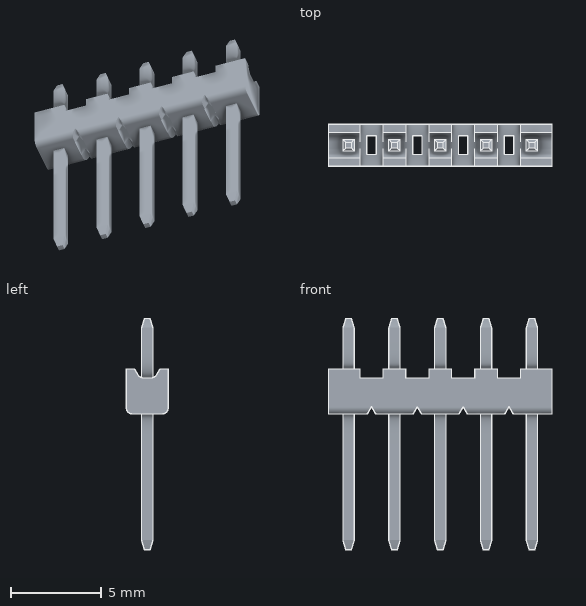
import cadquery as cq
import math

PIN_COUNT = 5
PITCH = 2.54
PIN_WIDTH = 0.64
PIN_TIP_WIDTH = PIN_WIDTH / 2
PIN_TAPER_LENGTH = 0.53
PIN_LENGTH = 12.83
PIN_ABOVE_BODY = 2.8

BODY_LENGTH = 12.4
BODY_WIDTH = 2.34
BODY_HEIGHT = 2.5
BODY_BOTTOM_RADIUS = 0.36

RECESS_DEPTH = 0.5
CROSS_NOTCH_WIDTH = PITCH / 2
GROOVE_FLOOR_WIDTH = 0.4
GROOVE_RADIUS = 0.36
GROOVE_WALL_ANGLE = math.radians(60)

SLOT_LENGTH_X = 0.5
SLOT_LENGTH_Y = 1.03
BREAK_NOTCH_HEIGHT = 0.4
BREAK_NOTCH_WIDTH = 0.46

PIN_TOP = BODY_HEIGHT + PIN_ABOVE_BODY
PIN_BOTTOM = PIN_TOP - PIN_LENGTH
RECESS_FLOOR = BODY_HEIGHT - RECESS_DEPTH


def row_positions(count):
    """X positions of count places, one pitch apart and centred on X = 0."""
    return [(i - (count - 1) / 2) * PITCH for i in range(count)]


PIN_POSITIONS = row_positions(PIN_COUNT)
GAP_POSITIONS = row_positions(PIN_COUNT - 1)


def make_body_block():
    """Plain block with its two long lower edges rounded."""
    block = cq.Workplane("XY").box(BODY_LENGTH, BODY_WIDTH, BODY_HEIGHT, centered=(True, True, False))
    return block.edges("|X and <Z").fillet(BODY_BOTTOM_RADIUS)


def make_groove():
    """Lengthwise groove: flat floor, tangent arcs, then straight sloping walls up to the body top."""
    floor_y = GROOVE_FLOOR_WIDTH / 2
    arc_center_z = RECESS_FLOOR + GROOVE_RADIUS

    def arc_point(angle):
        return floor_y + GROOVE_RADIUS * math.sin(angle), arc_center_z - GROOVE_RADIUS * math.cos(angle)

    mid_y, mid_z = arc_point(GROOVE_WALL_ANGLE / 2)
    wall_y, wall_z = arc_point(GROOVE_WALL_ANGLE)
    top_y = wall_y + (BODY_HEIGHT - wall_z) / math.tan(GROOVE_WALL_ANGLE)
    return (
        cq.Workplane("YZ")
        .moveTo(-floor_y, RECESS_FLOOR)
        .lineTo(floor_y, RECESS_FLOOR)
        .threePointArc((mid_y, mid_z), (wall_y, wall_z))
        .lineTo(top_y, BODY_HEIGHT)
        .lineTo(-top_y, BODY_HEIGHT)
        .lineTo(-wall_y, wall_z)
        .threePointArc((-mid_y, mid_z), (-floor_y, RECESS_FLOOR))
        .close()
        .extrude(BODY_LENGTH / 2, both=True)
    )


def make_cross_notch(x):
    """Rectangular notch across the body top, between two pins."""
    notch = cq.Workplane("XY").box(CROSS_NOTCH_WIDTH, BODY_WIDTH, RECESS_DEPTH, centered=(True, True, False))
    return notch.translate((x, 0, RECESS_FLOOR))


def make_slot(x):
    """Rectangular slot straight down through the body, between two pins."""
    slot = cq.Workplane("XY").box(SLOT_LENGTH_X, SLOT_LENGTH_Y, BODY_HEIGHT, centered=(True, True, False))
    return slot.translate((x, 0, 0))


def make_break_notch(x):
    """V-shaped notch across the underside, between two pins."""
    half_width = BREAK_NOTCH_WIDTH / 2
    return (
        cq.Workplane("XZ")
        .polyline([(x - half_width, 0), (x + half_width, 0), (x, BREAK_NOTCH_HEIGHT)])
        .close()
        .extrude(BODY_WIDTH / 2, both=True)
    )


def make_pin_taper(x, base_z, tip_z):
    """Square taper from the full pin section at base_z to the blunt tip at tip_z."""
    return (
        cq.Workplane("XY", origin=(x, 0, base_z))
        .rect(PIN_WIDTH, PIN_WIDTH)
        .workplane(offset=tip_z - base_z)
        .rect(PIN_TIP_WIDTH, PIN_TIP_WIDTH)
        .loft(ruled=True)
    )


def make_pin(x):
    """Square pin tapered at both ends."""
    shank_bottom = PIN_BOTTOM + PIN_TAPER_LENGTH
    shank_top = PIN_TOP - PIN_TAPER_LENGTH
    shank = (
        cq.Workplane("XY", origin=(x, 0, shank_bottom))
        .rect(PIN_WIDTH, PIN_WIDTH)
        .extrude(shank_top - shank_bottom)
    )
    upper_taper = make_pin_taper(x, shank_top, PIN_TOP)
    lower_taper = make_pin_taper(x, shank_bottom, PIN_BOTTOM)
    return shank.union(upper_taper).union(lower_taper)


result = make_body_block().cut(make_groove())
for gap_x in GAP_POSITIONS:
    result = result.cut(make_cross_notch(gap_x))
    result = result.cut(make_slot(gap_x))
    result = result.cut(make_break_notch(gap_x))
for pin_x in PIN_POSITIONS:
    result = result.union(make_pin(pin_x))